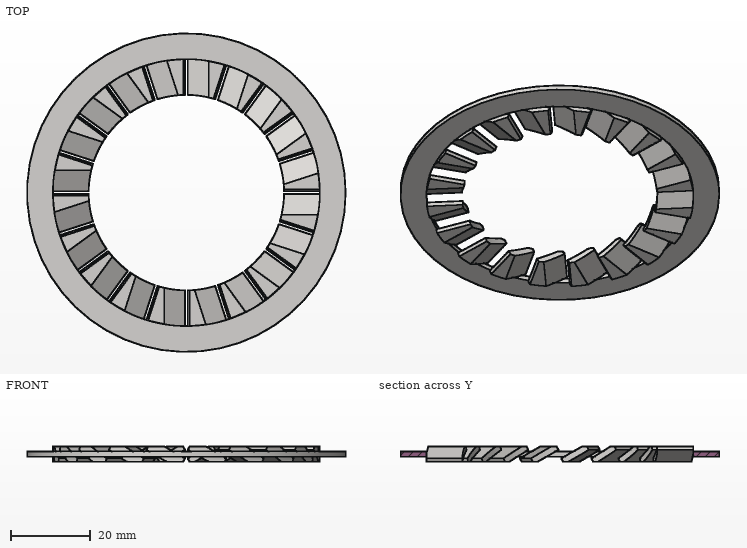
import cadquery as cq
import math

outer_radius = 40.0
ring_inner_radius = 33.5
ring_thickness = 1.4
tooth_count = 20
tooth_inner_radius = 24.5
tooth_height = 3.9
gap_width = 0.65
twist_angle = 30.0
edge_width = 1.0

pitch_angle = 360.0 / tooth_count
half_height = tooth_height / 2
twist = math.radians(twist_angle)
edge_z = edge_width * math.cos(twist) - half_height

edge_offset = gap_width / 2
crest_offset = edge_offset + (half_height - edge_z) / math.tan(twist)
foot_offset = edge_offset + edge_width * math.sin(twist)
far_offset = outer_radius / 2


def annulus(outer, inner, height):
    """Flat ring centred on the XY plane."""
    return (
        cq.Workplane("XY")
        .workplane(offset=-height / 2)
        .circle(outer)
        .circle(inner)
        .extrude(height)
    )


def blade_side():
    """Prism along +X, on its -Y side: the blade slope and edge face beside one gap."""
    return (
        cq.Workplane("YZ")
        .moveTo(-edge_offset, edge_z)
        .lineTo(-crest_offset, half_height)
        .lineTo(-far_offset, half_height)
        .lineTo(-far_offset, -half_height)
        .lineTo(-foot_offset, -half_height)
        .close()
        .extrude(outer_radius)
    )


def twisted_tooth():
    """One tooth centred on +X, symmetric under a half turn about the X axis."""
    first_side = blade_side().rotate((0, 0, 0), (0, 0, 1), pitch_angle / 2)
    second_side = first_side.rotate((0, 0, 0), (1, 0, 0), 180)
    tooth_band = annulus(ring_inner_radius, tooth_inner_radius, tooth_height)
    return first_side.intersect(second_side).intersect(tooth_band)


tooth = twisted_tooth()
result = annulus(outer_radius, ring_inner_radius, ring_thickness)
for index in range(tooth_count):
    tooth_angle = (index + 0.5) * pitch_angle
    result = result.union(tooth.rotate((0, 0, 0), (0, 0, 1), tooth_angle))